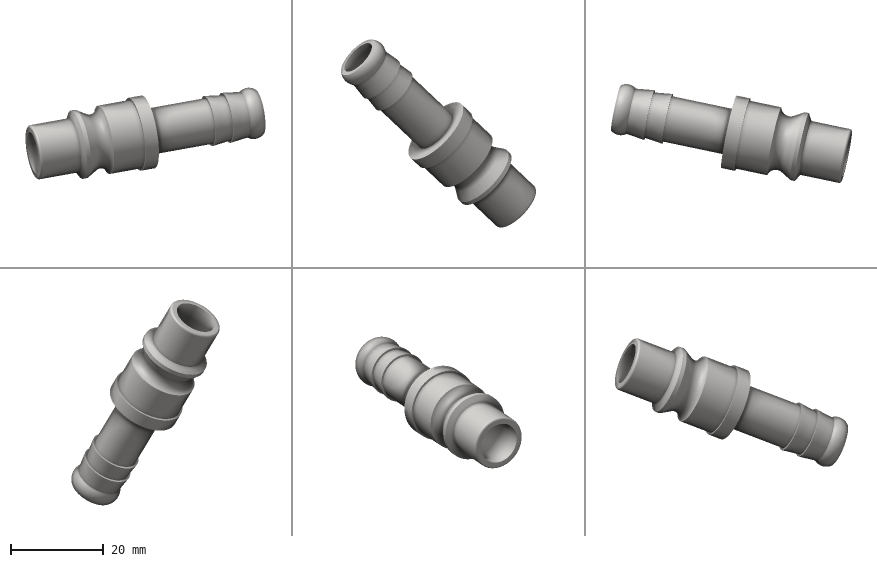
import cadquery as cq
import math

length = 51.0

nose_radius = 5.95
nose_length = 9.0
nose_fillet = 0.5
collar_radius = 7.5
collar_step = collar_radius - nose_radius
cone_angle = math.radians(30)
collar_front = nose_length + collar_step * math.tan(cone_angle)

groove_end = 16.0
groove_arc_radius = 2.0
groove_centre_radius = nose_radius + groove_arc_radius
groove_centre = groove_end - math.sqrt(
    groove_arc_radius**2 - (groove_centre_radius - collar_radius) ** 2
)
groove_tangent_radius = groove_centre_radius - groove_arc_radius * math.cos(cone_angle)
groove_tangent = groove_centre - groove_arc_radius * math.sin(cone_angle)
collar_back = groove_tangent - (collar_radius - groove_tangent_radius) / math.tan(cone_angle)

flange_radius = 8.0
flange_start = 23.0
flange_end = 26.0

tail_radius = 5.0
barb_radius = 5.5
barb_length = 4.0
barb_count = 2
bead_radius = 5.6
bead_length = 3.4
bead_start = length - bead_length
bead_middle = length - bead_length / 2
barbs_start = bead_start - barb_count * barb_length

plug_bore_radius = 4.5
tail_bore_radius = 4.0
bore_step = flange_start


def plug_profile(outline):
    """Trace the nose, collar, groove, body and flange up to the hose tail."""
    fillet_centre_radius = nose_radius - nose_fillet
    fillet_middle = (
        fillet_centre_radius + nose_fillet * math.sin(math.pi / 4),
        nose_fillet * (1 - math.cos(math.pi / 4)),
    )
    return (
        outline.lineTo(fillet_centre_radius, 0)
        .threePointArc(fillet_middle, (nose_radius, nose_fillet))
        .lineTo(nose_radius, nose_length)
        .lineTo(collar_radius, collar_front)
        .lineTo(collar_radius, collar_back)
        .lineTo(groove_tangent_radius, groove_tangent)
        .threePointArc((nose_radius, groove_centre), (collar_radius, groove_end))
        .lineTo(collar_radius, flange_start)
        .lineTo(flange_radius, flange_start)
        .lineTo(flange_radius, flange_end)
        .lineTo(tail_radius, flange_end)
    )


def tail_profile(outline):
    """Trace the hose tail, its barbs and the end bead."""
    outline = outline.lineTo(tail_radius, barbs_start)
    for index in range(barb_count):
        barb_start = barbs_start + index * barb_length
        outline = outline.lineTo(barb_radius, barb_start)
        outline = outline.lineTo(tail_radius, barb_start + barb_length)
    return outline.threePointArc((bead_radius, bead_middle), (tail_radius, length))


def bore_profile(outline):
    """Trace the stepped bore from the tail end back to the plug mouth."""
    return (
        outline.lineTo(tail_bore_radius, length)
        .lineTo(tail_bore_radius, bore_step)
        .lineTo(plug_bore_radius, bore_step)
    )


profile = cq.Workplane("XY").moveTo(plug_bore_radius, 0)
profile = plug_profile(profile)
profile = tail_profile(profile)
profile = bore_profile(profile).close()

result = profile.revolve(360, (0, 0, 0), (0, 1, 0))